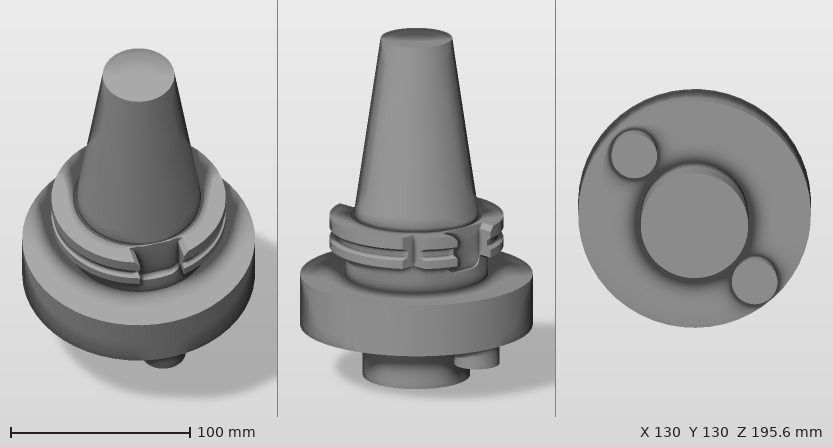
import cadquery as cq

total_height = 195.6
pin_bottom = 16.8
disc_bottom = 29.1
disc_top = 58.7
flange_bottom = 75.1
flange_top = 93.0
taper_bottom = 94.0

pilot_diameter = 60.0
disc_diameter = 130.0
collar_diameter = 80.0
flange_diameter = 97.5
neck_diameter = 69.2
taper_large_diameter = 69.8
taper_small_diameter = 40.1

relief_floor_diameter = 71.5
relief_depth = 1.0

groove_diameter = 91.1
groove_lower_edge = 79.8
groove_floor_bottom = 81.0
groove_floor_top = 84.5
groove_upper_edge = 86.3

pin_diameter = 25.5
pin_offset = 49.3

slot_width = 25.6
slot_bottom = 68.7
slot_corner_radius = 5.9
slot_chamfer = 2.7
left_slot_floor = 37.4
right_slot_floor = 35.0

notch_offset = 29.7


def turned_body():
    """Revolve the pilot, disc, collar, grooved flange and taper about Z."""
    outline = [
        (pilot_diameter / 2, 0),
        (pilot_diameter / 2, disc_bottom),
        (disc_diameter / 2, disc_bottom),
        (disc_diameter / 2, disc_top),
        (collar_diameter / 2, disc_top),
        (collar_diameter / 2, flange_bottom),
        (flange_diameter / 2, flange_bottom),
        (flange_diameter / 2, groove_lower_edge),
        (groove_diameter / 2, groove_floor_bottom),
        (groove_diameter / 2, groove_floor_top),
        (flange_diameter / 2, groove_upper_edge),
        (flange_diameter / 2, flange_top),
        (relief_floor_diameter / 2 + relief_depth, flange_top),
        (relief_floor_diameter / 2, flange_top - relief_depth),
        (neck_diameter / 2, flange_top - relief_depth),
        (neck_diameter / 2, taper_bottom),
        (taper_large_diameter / 2, taper_bottom),
        (taper_small_diameter / 2, total_height),
    ]
    profile = cq.Workplane("XZ").polyline([(0, 0)] + outline + [(0, total_height)]).close()
    return profile.revolve(360, (0, 0), (0, 1))


def drive_pin(side):
    """Pin under the disc, on the -X (side = -1) or +X (side = 1) half."""
    return (
        cq.Workplane("XY", origin=(side * pin_offset, 0, pin_bottom))
        .circle(pin_diameter / 2)
        .extrude(disc_bottom - pin_bottom)
    )


def drive_slot(side, floor):
    """Cutter for a slot with rounded lower corners and a chamfered mouth."""
    depth = flange_diameter / 2 - floor
    height = flange_top - slot_bottom
    center_x = side * (floor + depth / 2)
    slot = (
        cq.Workplane("XY", origin=(center_x, 0, slot_bottom))
        .box(depth, slot_width, height, centered=(True, True, False))
        .edges("|X and <Z")
        .fillet(slot_corner_radius)
    )
    mouth_half = slot_width / 2 + slot_chamfer
    mouth = (
        cq.Workplane("YZ", origin=(center_x - depth / 2, 0, 0))
        .moveTo(-mouth_half, flange_top)
        .lineTo(mouth_half, flange_top)
        .lineTo(slot_width / 2, flange_top - slot_chamfer)
        .lineTo(-slot_width / 2, flange_top - slot_chamfer)
        .close()
        .extrude(depth)
    )
    return slot.union(mouth)


def orientation_notch():
    """Square cutter removing the -X, +Y corner of the flange rim."""
    size = flange_diameter / 2 - notch_offset
    return (
        cq.Workplane("XY", origin=(-notch_offset, notch_offset, flange_bottom))
        .box(size, size, flange_top - flange_bottom, centered=False)
        .translate((-size, 0, 0))
    )


result = (
    turned_body()
    .union(drive_pin(-1))
    .union(drive_pin(1))
    .cut(drive_slot(-1, left_slot_floor))
    .cut(drive_slot(1, right_slot_floor))
    .cut(orientation_notch())
)